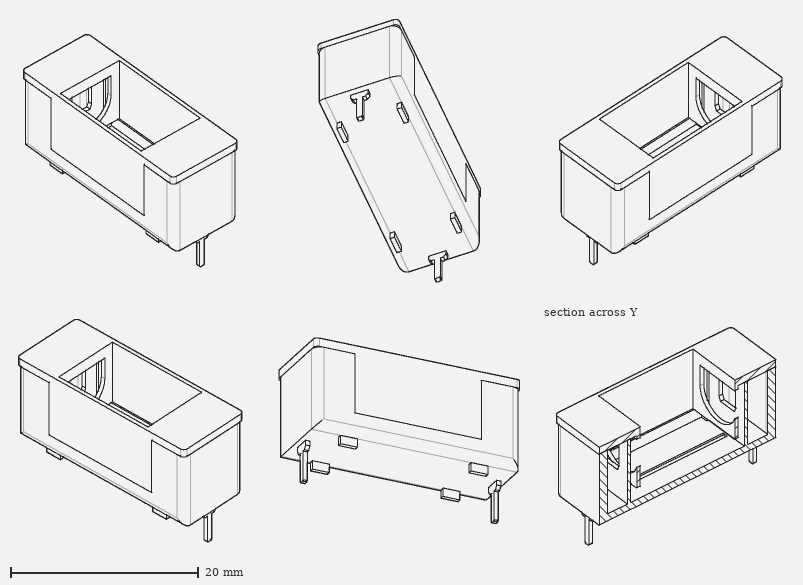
import cadquery as cq

LENGTH = 24.4
WIDTH = 9.4
TOTAL_HEIGHT = 15.0

LID_THICKNESS = 1.0
LID_CORNER_RADIUS = 0.51
WINDOW_LENGTH = 13.0
WINDOW_WIDTH = 8.4
FLAP_LENGTH = 15.0
FLAP_DEPTH = 8.0
CARRIER_THICKNESS = 0.51
FUSE_SLOT_RADIUS = 3.0
FUSE_SLOT_TOP = 1.5
FUSE_AXIS_DEPTH = 4.2

BOX_DEPTH = 10.5
BOX_CORNER_RADIUS = 1.0
FLOOR_THICKNESS = 1.0
MIDDLE_POCKET_WIDTH = 8.0
END_POCKET_LENGTH = 22.1
END_POCKET_WIDTH = 6.2
END_POCKET_CORNER_RADIUS = 0.51
FLOOR_GROOVE_WIDTH = 0.68
FLOOR_GROOVE_DEPTH = 0.25

PLATE_INNER_X = 7.8
PLATE_THICKNESS = 0.51
PLATE_SLOT_WIDTH = 2.83
PLATE_SLOT_DEPTH = 5.85
PLATE_SLOT_CHAMFER_WIDTH = 0.25
PLATE_SLOT_CHAMFER_HEIGHT = 0.59

FOOT_LENGTH = 2.0
FOOT_WIDTH = 0.51
FOOT_HEIGHT = 1.0
FOOT_CENTER_X = 7.73
FOOT_CENTER_Y = 3.46

PIN_CENTER_X = 11.32
PIN_THICKNESS = 0.51
PIN_WIDTH = 0.68
SHOULDER_WIDTH = 2.0
SHOULDER_HEIGHT = 1.0
SHOULDER_CHAMFER_WIDTH = 0.3
SHOULDER_CHAMFER_HEIGHT = 0.45
TIP_CHAMFER_WIDTH = 0.1
TIP_CHAMFER_HEIGHT = 0.12

SIDES = (-1, 1)
FLOOR_DEPTH = BOX_DEPTH - FLOOR_THICKNESS


def block(length, width, top_depth, bottom_depth, center_x=0.0, center_y=0.0):
    """Upright box between two depths below the lid top."""
    height = bottom_depth - top_depth
    center = (center_x, center_y, -bottom_depth)
    return cq.Workplane("XY", origin=center).box(length, width, height, centered=(True, True, False))


def extrude_symmetric_profile(right_half, center_x, thickness):
    """Plate across X whose (Y, Z) outline mirrors the given half, listed from top to bottom."""
    left_half = [(-y, z) for y, z in reversed(right_half)]
    return (
        cq.Workplane("YZ", origin=(center_x - thickness / 2, 0, 0))
        .polyline(right_half + left_half)
        .close()
        .extrude(thickness)
    )


def make_carrier_wall(side):
    """Cross wall of the lid with a round-bottomed slot for the fuse."""
    center_x = side * (WINDOW_LENGTH + CARRIER_THICKNESS) / 2
    wall = block(CARRIER_THICKNESS, WINDOW_WIDTH, LID_THICKNESS, FLAP_DEPTH, center_x)
    slot = block(CARRIER_THICKNESS, 2 * FUSE_SLOT_RADIUS, FUSE_SLOT_TOP, FUSE_AXIS_DEPTH, center_x)
    slot_bottom = (
        cq.Workplane("YZ", origin=(center_x - CARRIER_THICKNESS / 2, 0, -FUSE_AXIS_DEPTH))
        .circle(FUSE_SLOT_RADIUS)
        .extrude(CARRIER_THICKNESS)
    )
    below_slot_top = block(CARRIER_THICKNESS, WINDOW_WIDTH, FUSE_SLOT_TOP, FLAP_DEPTH, center_x)
    return wall.cut(slot.union(slot_bottom.intersect(below_slot_top)))


def make_lid():
    """Top plate with a window, two side flaps and two fuse carrier walls."""
    plate = block(LENGTH, WIDTH, 0, LID_THICKNESS).edges("|Z").fillet(LID_CORNER_RADIUS)
    flaps = block(FLAP_LENGTH, WIDTH, LID_THICKNESS, FLAP_DEPTH).cut(
        block(FLAP_LENGTH, WINDOW_WIDTH, LID_THICKNESS, FLAP_DEPTH)
    )
    lid = plate.cut(block(WINDOW_LENGTH, WINDOW_WIDTH, 0, LID_THICKNESS)).union(flaps)
    for side in SIDES:
        lid = lid.union(make_carrier_wall(side))
    return lid


def make_box_outside():
    """Block with rounded upright corners and rounded long bottom edges."""
    upright = block(LENGTH, WIDTH, LID_THICKNESS, BOX_DEPTH).edges("|Z").fillet(BOX_CORNER_RADIUS)
    lengthwise = (
        block(LENGTH, WIDTH, LID_THICKNESS, BOX_DEPTH)
        .edges("|X and <Z")
        .fillet(BOX_CORNER_RADIUS)
    )
    return upright.intersect(lengthwise)


def make_slotted_plate(side):
    """Plate across an end pocket, with a slot open at the top."""
    center_x = side * (PLATE_INNER_X + PLATE_THICKNESS / 2)
    plate = block(PLATE_THICKNESS, END_POCKET_WIDTH, LID_THICKNESS, FLOOR_DEPTH, center_x)
    right_half = [
        (PLATE_SLOT_WIDTH / 2, -LID_THICKNESS),
        (PLATE_SLOT_WIDTH / 2, PLATE_SLOT_CHAMFER_HEIGHT - PLATE_SLOT_DEPTH),
        (PLATE_SLOT_WIDTH / 2 - PLATE_SLOT_CHAMFER_WIDTH, -PLATE_SLOT_DEPTH),
    ]
    slot = extrude_symmetric_profile(right_half, center_x, PLATE_THICKNESS)
    return plate.cut(slot)


def make_pin(side):
    """Flat solder pin with a wide shoulder against the box bottom."""
    shoulder_bottom = -BOX_DEPTH - SHOULDER_HEIGHT
    right_half = [
        (SHOULDER_WIDTH / 2, -BOX_DEPTH),
        (SHOULDER_WIDTH / 2, shoulder_bottom + SHOULDER_CHAMFER_HEIGHT),
        (SHOULDER_WIDTH / 2 - SHOULDER_CHAMFER_WIDTH, shoulder_bottom),
        (PIN_WIDTH / 2, shoulder_bottom),
        (PIN_WIDTH / 2, TIP_CHAMFER_HEIGHT - TOTAL_HEIGHT),
        (PIN_WIDTH / 2 - TIP_CHAMFER_WIDTH, -TOTAL_HEIGHT),
    ]
    return extrude_symmetric_profile(right_half, side * PIN_CENTER_X, PIN_THICKNESS)


def make_base():
    """Open box that takes the lid flaps, with end plates, feet and pins."""
    base = make_box_outside()
    flap_notch = block(FLAP_LENGTH, WIDTH, LID_THICKNESS, FLAP_DEPTH)
    middle_pocket = block(FLAP_LENGTH, MIDDLE_POCKET_WIDTH, FLAP_DEPTH, FLOOR_DEPTH)
    end_pockets = (
        block(END_POCKET_LENGTH, END_POCKET_WIDTH, LID_THICKNESS, FLOOR_DEPTH)
        .edges("|Z")
        .fillet(END_POCKET_CORNER_RADIUS)
    )
    floor_groove = block(FLAP_LENGTH, FLOOR_GROOVE_WIDTH, FLOOR_DEPTH, FLOOR_DEPTH + FLOOR_GROOVE_DEPTH)
    base = base.cut(flap_notch).cut(middle_pocket).cut(end_pockets).cut(floor_groove)

    for side_x in SIDES:
        base = base.union(make_slotted_plate(side_x)).union(make_pin(side_x))
        for side_y in SIDES:
            foot = block(
                FOOT_LENGTH,
                FOOT_WIDTH,
                BOX_DEPTH,
                BOX_DEPTH + FOOT_HEIGHT,
                side_x * FOOT_CENTER_X,
                side_y * FOOT_CENTER_Y,
            )
            base = base.union(foot)
    return base


lid = make_lid()
base = make_base()

result = cq.Compound.makeCompound([lid.val(), base.val()])